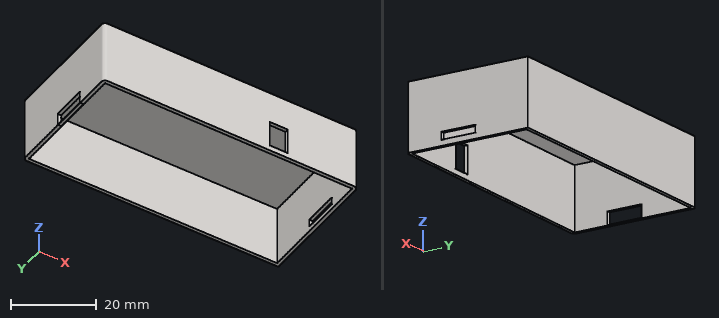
import cadquery as cq

length = 71.0
width = 34.5
height = 17.55
wall = 1.0
corner_radius = 1.0
front_skew = 0.5

window_center_x = 13.4
window_width = 5.0
window_height = 7.2
window_sill = 1.5

slot_center_y = -2.3
slot_width = 9.5
slot_top = 3.5
left_slot_sill = 0.15
right_slot_sill = window_sill

cut_depth = 3 * wall
x_end = length / 2
y_end = width / 2


def outline():
    """Plan of the cover: a rectangle with a slightly skewed front side."""
    return cq.Workplane("XY").polyline([
        (-x_end, -y_end),
        (x_end, -y_end + front_skew),
        (x_end, y_end),
        (-x_end, y_end),
    ]).close()


def shell():
    """Outer block with three rounded corners, hollowed from below."""
    block = outline().extrude(height)
    block = block.edges("|Z exc >(1, 1, 0)").fillet(corner_radius)
    cavity = outline().offset2D(-wall, "intersection").extrude(height - wall)
    return block.cut(cavity)


def front_window():
    return cq.Workplane("XY").box(
        window_width, cut_depth, window_height, centered=(True, True, False)
    ).translate((window_center_x, -y_end + wall / 2, window_sill))


def end_slot(wall_x, sill):
    return cq.Workplane("XY").box(
        cut_depth, slot_width, slot_top - sill, centered=(True, True, False)
    ).translate((wall_x, slot_center_y, sill))


wall_middle_x = x_end - wall / 2
result = (
    shell()
    .cut(front_window())
    .cut(end_slot(-wall_middle_x, left_slot_sill))
    .cut(end_slot(wall_middle_x, right_slot_sill))
)